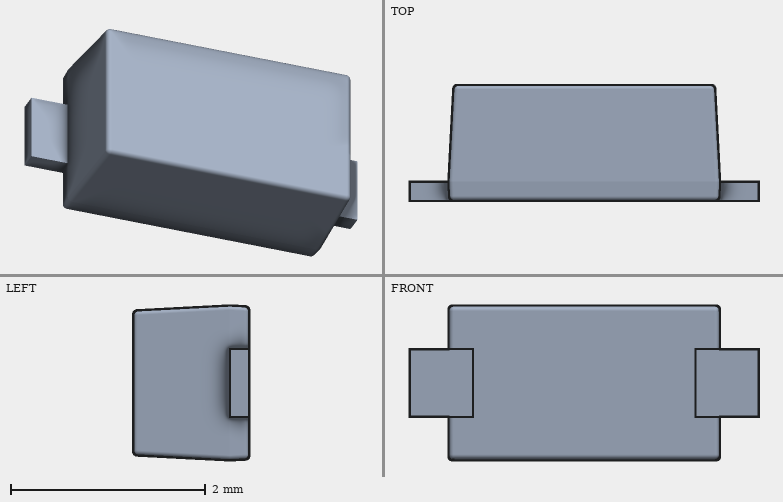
import cadquery as cq

span = 3.6
depth = 1.2

housing_length = 2.8
housing_height = 1.6
draft_angle = 3.0
edge_radius = 0.05

lead_length = 0.65
lead_width = 0.7
lead_thickness = 0.2

mounting_y = -depth / 2
parting_y = mounting_y + lead_thickness
lead_center_x = (span - lead_length) / 2
lead_center_y = mounting_y + lead_thickness / 2


def make_lead(side):
    """Flat rectangular lead at the -X (side = -1) or +X (side = 1) end."""
    lead = cq.Workplane("XY").box(lead_length, lead_thickness, lead_width)
    return lead.translate((side * lead_center_x, lead_center_y, 0))


def drafted_block(distance):
    """Block narrowing away from the parting plane; a positive distance runs toward -Y."""
    return (
        cq.Workplane("XZ", origin=(0, parting_y, 0))
        .rect(housing_length, housing_height)
        .extrude(distance, taper=draft_angle)
    )


def make_housing(leads):
    """Double-drafted moulding with rounded edges and a recess for each lead."""
    front = drafted_block(lead_thickness)
    back = drafted_block(lead_thickness - depth)
    body = front.union(back)

    parting_edges = cq.selectors.BoxSelector(
        (-span, parting_y - edge_radius, -span),
        (span, parting_y + edge_radius, span),
    )
    body = body.edges(cq.selectors.InverseSelector(parting_edges)).fillet(edge_radius)

    for lead in leads:
        body = body.cut(lead)
    return body.solids()


leads = [make_lead(side) for side in (-1, 1)]
housing = make_housing(leads)

result = cq.Compound.makeCompound([housing.val(), *[lead.val() for lead in leads]])